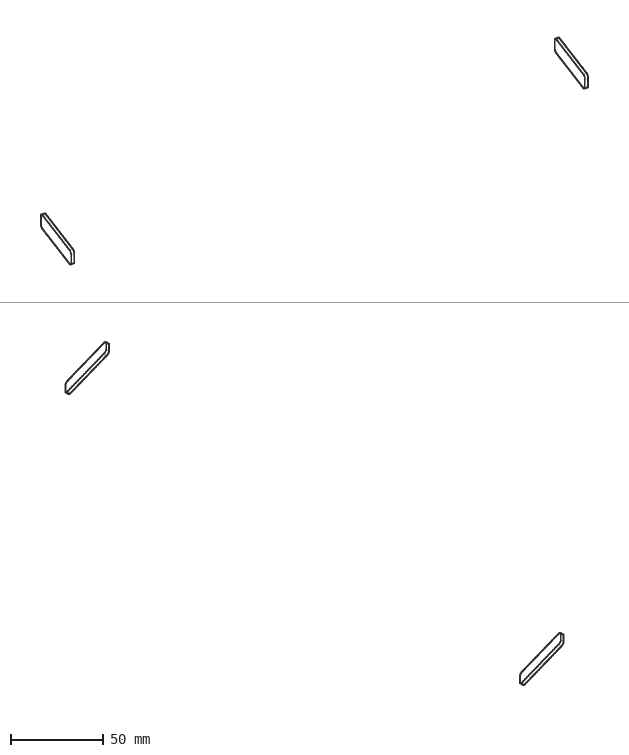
import cadquery as cq

overall_depth = 315.0
plate_length = 36.0
plate_height = 10.0
plate_thickness = 2.02
corner_radius = 2.02

plate_offset = (overall_depth - plate_thickness) / 2


def make_plate(center_y):
    """Flat plate standing upright in XZ with four rounded corners."""
    return (
        cq.Workplane("XY")
        .box(plate_length, plate_thickness, plate_height)
        .edges("|Y")
        .fillet(corner_radius)
        .translate((0, center_y, 0))
    )


plates = []
for side in (-1, 1):
    plates.append(make_plate(side * plate_offset))

result = cq.Compound.makeCompound([plate.val() for plate in plates])